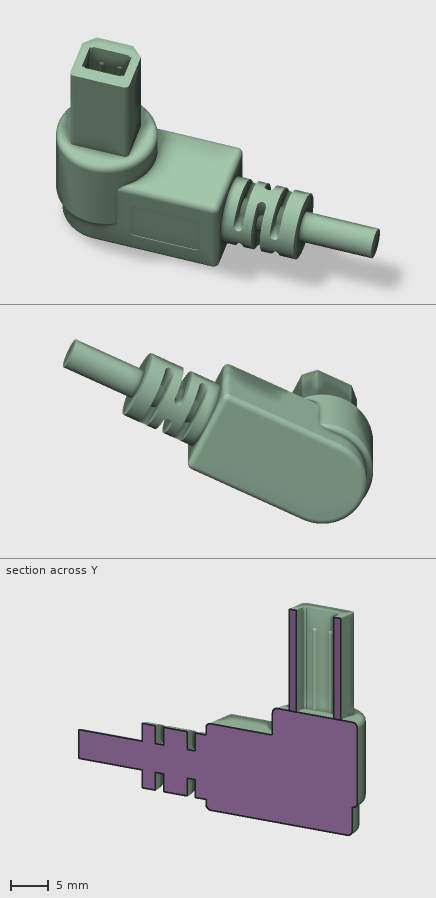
import cadquery as cq


total_length = 43.9
total_height = 29.75

barrel_diameter = 13.45
barrel_bottom = 4.0
barrel_top = 15.75
arm_width = 11.75
arm_height = 12.0
arm_end = 17.15
edge_radius = 0.8

label_length = 9.55
label_height = 6.0
label_center_x = 9.88
label_center_z = 6.0
label_corner_radius = 0.65
label_depth = 0.1

cable_axis_z = 5.85
relief_diameter = 8.95
relief_end = 27.2
cable_diameter = 4.05
slot_width = 1.25
slot_floor = 1.15
slot_pitch = 2.5
middle_slot_x = 21.95

plug_width = 8.1
plug_depth = 7.3
plug_chamfer = 1.55
plug_corner_radius = 0.6

socket_width = 5.85
socket_depth = 3.45
contact_groove_width = 5.0
groove_span = 3.8
contact_spacing = 2.5
contact_diameter = 1.0
contact_exposure = 0.2
contact_setback = 2.65
contact_tip_radius = 0.4

barrel_radius = barrel_diameter / 2
plug_height = total_height - barrel_top
cable_end = total_length - barrel_radius


def make_barrel():
    height = barrel_top - barrel_bottom
    barrel = cq.Workplane("XY").workplane(offset=barrel_bottom).circle(barrel_radius).extrude(height)
    return barrel.edges("%CIRCLE").fillet(edge_radius)


def make_arm():
    """Flat-sided arm with a half-round end under the barrel and all edges rounded."""
    half_width = arm_width / 2
    arm = (
        cq.Workplane("XY")
        .moveTo(0, half_width)
        .threePointArc((-half_width, 0), (0, -half_width))
        .lineTo(arm_end, -half_width)
        .lineTo(arm_end, half_width)
        .close()
        .extrude(arm_height)
    )
    return arm.edges("(>X and |Z) or <Z or >Z").fillet(edge_radius)


def make_label_recess():
    return (
        cq.Workplane("XY")
        .box(label_length, 2 * label_depth, label_height)
        .edges("|Y")
        .fillet(label_corner_radius)
        .translate((label_center_x, -arm_width / 2, label_center_z))
    )


def make_rod(diameter, start, end):
    """Round rod on the cable axis, from x = start to x = end."""
    return (
        cq.Workplane("YZ")
        .workplane(offset=start)
        .center(0, cable_axis_z)
        .circle(diameter / 2)
        .extrude(end - start)
    )


def make_slot_pair(x, turn):
    """Two opposite round-bottomed slots at x, turned about the cable axis by `turn` degrees."""
    round_center = slot_floor + slot_width / 2
    rounded_floor = (
        cq.Workplane("XZ")
        .center(0, round_center)
        .circle(slot_width / 2)
        .extrude(relief_diameter / 2, both=True)
    )
    straight_sides = (
        cq.Workplane("XY")
        .workplane(offset=round_center)
        .rect(slot_width, relief_diameter)
        .extrude(relief_diameter / 2)
    )
    cutter = rounded_floor.union(straight_sides)
    pair = cutter.union(cutter.mirror("XY"))
    return pair.rotate((0, 0, 0), (1, 0, 0), turn).translate((x, 0, cable_axis_z))


def make_strain_relief():
    relief = make_rod(relief_diameter, arm_end, relief_end)
    for step, turn in ((-1, 0), (0, 90), (1, 0)):
        relief = relief.cut(make_slot_pair(middle_slot_x + step * slot_pitch, turn))
    return relief


def make_housing():
    """Moulded housing with its strain relief and cable, the cable running through the slots."""
    housing = make_arm().union(make_barrel()).cut(make_label_recess())
    cable = make_rod(cable_diameter, arm_end, cable_end)
    return housing.union(make_strain_relief()).union(cable)


def make_socket():
    """Rectangular opening, widened on both long sides by a shallow groove for the contacts."""
    opening = cq.Workplane("XY").rect(socket_width, socket_depth).extrude(plug_height)
    grooves = cq.Workplane("XY").rect(contact_groove_width, groove_span).extrude(plug_height)
    return opening.union(grooves)


def make_contact():
    """Round-tipped contact pin, partly sunk in the +Y groove floor."""
    axis_y = groove_span / 2 - contact_exposure + contact_diameter / 2
    pin = (
        cq.Workplane("XY")
        .center(0, axis_y)
        .circle(contact_diameter / 2)
        .extrude(plug_height - contact_setback)
    )
    return pin.edges(">Z").fillet(contact_tip_radius)


def make_plug():
    plug = cq.Workplane("XY").rect(plug_width, plug_depth).extrude(plug_height)
    plug = plug.edges("|Z and >Y").chamfer(plug_chamfer)
    plug = plug.edges("|Z and <Y").fillet(plug_corner_radius)
    plug = plug.cut(make_socket())
    contact = make_contact()
    for x in (-contact_spacing / 2, contact_spacing / 2):
        plug = plug.union(contact.translate((x, 0, 0)))
        plug = plug.union(contact.mirror("XZ").translate((x, 0, 0)))
    return plug.translate((0, 0, barrel_top))


housing = make_housing()
plug = make_plug()

result = cq.Compound.makeCompound([housing.val(), plug.val()])